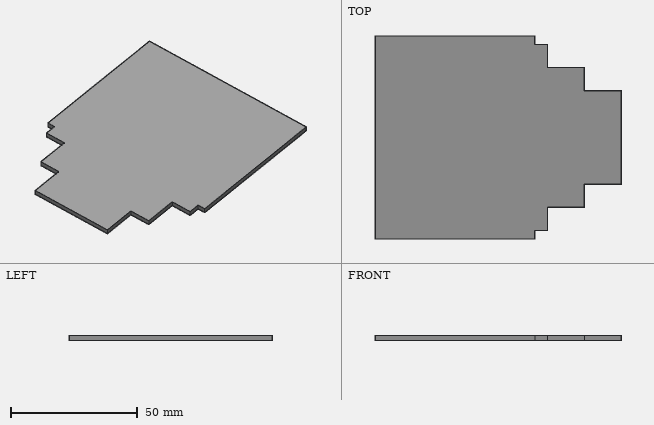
import cadquery as cq

length = 97.0
width = 80.0
thickness = 2.0

body_length = 63.0
shoulder_end = 67.9
middle_end = (shoulder_end + length) / 2
tongue_width = 36.9
step_depth = 9.1
middle_width = tongue_width + 2 * step_depth
shoulder_width = middle_width + 2 * step_depth

sections = [
    (body_length, width),
    (shoulder_end, shoulder_width),
    (middle_end, middle_width),
    (length, tongue_width),
]


def stepped_outline(steps):
    """Points of the +Y half of the outline, from the -X edge to the tongue tip."""
    points = []
    start = 0.0
    for end, step_width in steps:
        points.append((start, step_width / 2))
        points.append((end, step_width / 2))
        start = end
    return points


upper_half = stepped_outline(sections)
lower_half = [(x, -y) for x, y in reversed(upper_half)]

result = cq.Workplane("XY").polyline(upper_half + lower_half).close().extrude(thickness)